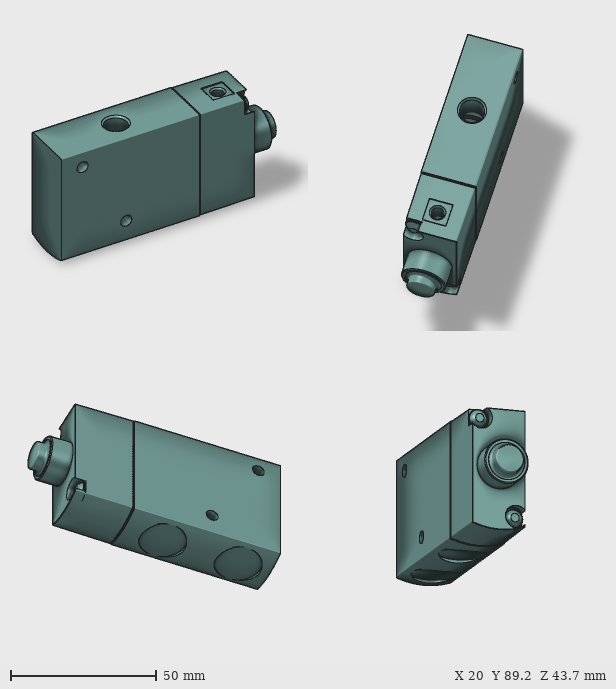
import cadquery as cq
import math


BODY_WIDTH = 20.0
BODY_HEIGHT = 43.7
BODY_LENGTH = 54.95
CROWN_RISE = 1.8
EDGE_RADIUS = 0.6
MOUNT_HOLE_D = 4.4
MOUNT_HOLES_YZ = [(8.4, 37.7), (25.8, 9.7)]
PORT_D = 8.6
PORT_RIM_D = 10.0
PORT_Y = 27.5
PORT_DEPTH = 9.8
PORT_SLOT_LENGTH = 8.3
PORT_SLOT_WIDTH = 5.35
PORT_SLOT_DEPTH = 2.7
SPOTFACE_D = 16.5
SPOTFACE_DEPTH = 1.2
SPOTFACE_SPACING = 28.4
SPOTFACE_MID_Y = 25.8

JOINT_GAP = 0.5
LIP_INSET = 0.6
HEAD_INSET = 0.2
HEAD_LENGTH = 21.7
HEAD_DRAFT_DEG = 0.5
HEAD_EDGE_CHAMFER = 0.2
HEAD_EDGE_RADIUS = 0.45
HEAD_FRONT_Y = BODY_LENGTH + JOINT_GAP
HEAD_BACK_Y = HEAD_FRONT_Y + HEAD_LENGTH
PAD_SIZE = 8.5
PAD_FLOOR_Z = 43.0
PILOT_PORT_D = 4.4
PILOT_PORT_RIM_D = 5.6
PILOT_PORT_DEPTH = 7.1
PILOT_PORT_Y = 68.1

OVERALL_LENGTH = 89.2
BOSS_Z = 22.75
BOSS_D = 15.9
BOSS_END_Y = 85.2
BOSS_CHAMFER = 0.4
BOSS_RECESS_D = 13.2
BUTTON_FOOT_D = 13.0
BUTTON_D = 10.0
BUTTON_RIM_Y = 88.1
BUTTON_RIM_ROUND = 0.5
BUTTON_FOOT_RADIUS = (BUTTON_FOOT_D - BUTTON_D) / 2
BUTTON_NECK_Y = 86.5
RECESS_FLOOR_Y = BUTTON_NECK_Y - BUTTON_FOOT_RADIUS

SCREW_X = 6.4
SCREW_OFFSET_Z = 17.2
SCREW_POCKET_D = 8.0
SCREW_POCKET_DEPTH = 4.0
SCREW_FLANGE_D = 6.8
SCREW_FLANGE_THICKNESS = 0.9
SCREW_TEETH = 40
SCREW_TOOTH_DEPTH = 0.2
SCREW_DOME_HEIGHT = 1.6
SCREW_DOME_TOP_D = 3.0
SCREW_SEAT_Y = HEAD_BACK_Y - SCREW_POCKET_DEPTH
SCREWS_XZ = [(side * SCREW_X, BOSS_Z + side * SCREW_OFFSET_Z) for side in (1, -1)]


def plane_facing_back(y, x=0, z=0):
    """Sketch plane at the given Y whose normal is +Y and whose local Y is +Z."""
    return cq.Plane(origin=(x, y, z), xDir=(-1, 0, 0), normal=(0, 1, 0))


def crowned_outline(y, inset):
    """Rectangle with an arched bottom edge, shrunk all round by inset."""
    half_width = BODY_WIDTH / 2 - inset
    corner_z = CROWN_RISE + inset
    top_z = BODY_HEIGHT - inset
    return (
        cq.Workplane(plane_facing_back(y))
        .moveTo(-half_width, corner_z)
        .threePointArc((0, inset), (half_width, corner_z))
        .lineTo(half_width, top_z)
        .lineTo(-half_width, top_z)
        .close()
    )


def cylinder_along_y(diameter, y, length, x, z):
    return cq.Workplane(plane_facing_back(y, x, z)).circle(diameter / 2).extrude(length)


def countersunk_bore(diameter, rim_diameter, depth, y, top_z):
    """Vertical blind bore, opened by a 45 degree countersink at its mouth."""
    radius = diameter / 2
    rim_radius = rim_diameter / 2
    profile = (
        cq.Workplane("XZ")
        .polyline([
            (0, top_z),
            (rim_radius, top_z),
            (radius, top_z - (rim_radius - radius)),
            (radius, top_z - depth),
            (0, top_z - depth),
        ])
        .close()
    )
    return profile.revolve(360, (0, 0, 0), (0, 1, 0)).translate((0, y, 0))


def make_body():
    body = crowned_outline(0, 0).extrude(BODY_LENGTH).edges("|Y").fillet(EDGE_RADIUS)

    for y, z in MOUNT_HOLES_YZ:
        body = body.cut(
            cq.Workplane("YZ", origin=(0, y, z)).circle(MOUNT_HOLE_D / 2).extrude(BODY_WIDTH, both=True)
        )

    body = body.cut(countersunk_bore(PORT_D, PORT_RIM_D, PORT_DEPTH, PORT_Y, BODY_HEIGHT))
    body = body.cut(
        cq.Workplane("XY", origin=(0, PORT_Y, BODY_HEIGHT - PORT_DEPTH))
        .slot2D(PORT_SLOT_LENGTH, PORT_SLOT_WIDTH)
        .extrude(-PORT_SLOT_DEPTH)
    )

    for side in (-1, 1):
        y = SPOTFACE_MID_Y + side * SPOTFACE_SPACING / 2
        body = body.cut(
            cq.Workplane("XY", origin=(0, y, 0)).circle(SPOTFACE_D / 2).extrude(SPOTFACE_DEPTH)
        )
    return body


def make_boss():
    """Round boss and its button, revolved about the boss axis."""
    foot_radius = BUTTON_FOOT_D / 2
    button_radius = BUTTON_D / 2
    boss_radius = BOSS_D / 2
    crown_radius = button_radius - BUTTON_RIM_ROUND
    crown_base_y = BUTTON_RIM_Y + BUTTON_RIM_ROUND
    crown_rise = OVERALL_LENGTH - crown_base_y
    crown_sphere_radius = (crown_radius**2 + crown_rise**2) / (2 * crown_rise)
    diagonal = BUTTON_FOOT_RADIUS * (1 - math.sqrt(0.5))
    profile = (
        cq.Workplane("XY")
        .moveTo(0, HEAD_BACK_Y)
        .lineTo(boss_radius, HEAD_BACK_Y)
        .lineTo(boss_radius, BOSS_END_Y - BOSS_CHAMFER)
        .lineTo(boss_radius - BOSS_CHAMFER, BOSS_END_Y)
        .lineTo(BOSS_RECESS_D / 2, BOSS_END_Y)
        .lineTo(BOSS_RECESS_D / 2, RECESS_FLOOR_Y)
        .lineTo(foot_radius, RECESS_FLOOR_Y)
        .threePointArc(
            (button_radius + diagonal, RECESS_FLOOR_Y + diagonal),
            (button_radius, BUTTON_NECK_Y),
        )
        .lineTo(button_radius, BUTTON_RIM_Y)
        .radiusArc((crown_radius, crown_base_y), -BUTTON_RIM_ROUND)
        .radiusArc((0, OVERALL_LENGTH), -crown_sphere_radius)
        .close()
    )
    return profile.revolve(360, (0, 0, 0), (0, 1, 0)).translate((0, 0, BOSS_Z))


def make_head():
    head = crowned_outline(HEAD_FRONT_Y, HEAD_INSET).extrude(HEAD_LENGTH, taper=HEAD_DRAFT_DEG)
    head = head.edges("not(#Y)").edges("not(<Y or >Y)").fillet(HEAD_EDGE_RADIUS)
    head = head.faces(">Y").chamfer(HEAD_EDGE_CHAMFER)

    lip = crowned_outline(BODY_LENGTH, LIP_INSET).extrude(JOINT_GAP).edges("|Y").fillet(EDGE_RADIUS)
    head = head.union(lip).union(make_boss())

    head = head.cut(
        cq.Workplane("XY", origin=(0, PILOT_PORT_Y, PAD_FLOOR_Z))
        .rect(PAD_SIZE, PAD_SIZE)
        .extrude(BODY_HEIGHT - PAD_FLOOR_Z)
    )
    head = head.cut(
        countersunk_bore(PILOT_PORT_D, PILOT_PORT_RIM_D, PILOT_PORT_DEPTH, PILOT_PORT_Y, PAD_FLOOR_Z)
    )

    for x, z in SCREWS_XZ:
        head = head.cut(cylinder_along_y(SCREW_POCKET_D, SCREW_SEAT_Y, SCREW_POCKET_DEPTH, x, z))

    upper_x, upper_z = SCREWS_XZ[0]
    head = head.cut(
        cq.Workplane("XY", origin=(upper_x, SCREW_SEAT_Y, upper_z))
        .rect(SCREW_POCKET_D / 2, SCREW_POCKET_DEPTH, centered=False)
        .extrude(SCREW_POCKET_D / 2)
    )
    return head


def make_screw(x, z):
    """Domed screw head on a toothed flange."""
    outer_radius = SCREW_FLANGE_D / 2
    root_radius = outer_radius - SCREW_TOOTH_DEPTH
    tooth_points = []
    for i in range(2 * SCREW_TEETH):
        radius = outer_radius if i % 2 == 0 else root_radius
        angle = math.pi * i / SCREW_TEETH
        tooth_points.append((radius * math.cos(angle), radius * math.sin(angle)))
    flange = (
        cq.Workplane(plane_facing_back(SCREW_SEAT_Y, x, z))
        .polyline(tooth_points)
        .close()
        .extrude(SCREW_FLANGE_THICKNESS)
    )

    dome_base_y = SCREW_SEAT_Y + SCREW_FLANGE_THICKNESS
    dome_top_y = dome_base_y + SCREW_DOME_HEIGHT
    dome = (
        cq.Workplane("XY")
        .moveTo(0, dome_base_y)
        .lineTo(root_radius, dome_base_y)
        .radiusArc((SCREW_DOME_TOP_D / 2, dome_top_y), -root_radius)
        .lineTo(0, dome_top_y)
        .close()
        .revolve(360, (0, 0, 0), (0, 1, 0))
        .translate((x, 0, z))
    )
    return flange.union(dome)


body = make_body()
head = make_head()
screws = [make_screw(x, z) for x, z in SCREWS_XZ]

result = cq.Compound.makeCompound([body.val(), head.val(), *[screw.val() for screw in screws]])